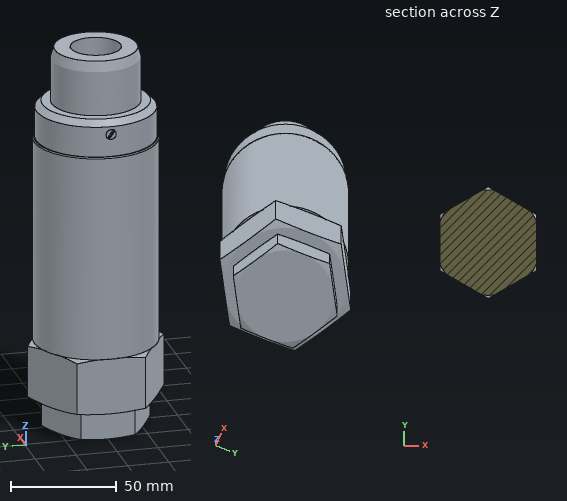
import cadquery as cq
import math

total_height = 190.0
small_nut_top = 15.0
large_nut_top = 43.0
sleeve_top = 145.0

large_nut_flats = 58.0
small_nut_flats = 46.0
nut_chamfer_angle = math.radians(15)

sleeve_diameter = 60.0
sleeve_chamfer = 0.5

collar_diameter = 58.0
collar_top = 163.0
collar_chamfer = 3.0
spigot_diameter = 43.0
spigot_taper_height = 5.1
spigot_taper_inset = 1.5
bore_diameter = 24.1
bore_depth = 11.0

screw_diameter = 5.0
screw_height = 156.0
screw_length = 5.7
screw_recess = 0.1
slot_width = 1.1
slot_depth = 1.1
slot_tilt = 55
screw_outer_radius = collar_diameter / 2 - screw_recess


def cylinder(diameter, bottom, top):
    return cq.Workplane("XY").workplane(offset=bottom).circle(diameter / 2).extrude(top - bottom)


def make_nut(flats, bottom, top):
    """Hexagon with corners on the Y axis, its corners bevelled by shallow cones at both ends."""
    corner_radius = flats / math.sqrt(3)
    corner_drop = (corner_radius - flats / 2) * math.tan(nut_chamfer_angle)
    hexagon = (
        cq.Workplane("XY")
        .workplane(offset=bottom)
        .transformed(rotate=(0, 0, 90))
        .polygon(6, 2 * corner_radius)
        .extrude(top - bottom)
    )
    bevel = (
        cq.Workplane("XZ")
        .moveTo(0, bottom)
        .lineTo(flats / 2, bottom)
        .lineTo(corner_radius, bottom + corner_drop)
        .lineTo(corner_radius, top - corner_drop)
        .lineTo(flats / 2, top)
        .lineTo(0, top)
        .close()
        .revolve(360, (0, 0), (0, 1))
    )
    return hexagon.intersect(bevel)


def make_sleeve():
    sleeve = cylinder(sleeve_diameter, large_nut_top, sleeve_top)
    return sleeve.faces(">Z").chamfer(sleeve_chamfer)


def screw_axis_plane(radius):
    """YZ plane centred on the screw axis, at a distance from the main axis towards -X."""
    return cq.Workplane("YZ", origin=(-radius, 0, screw_height))


def make_cap():
    collar = cylinder(collar_diameter, sleeve_top, collar_top).faces(">Z").chamfer(collar_chamfer)
    spigot = cylinder(spigot_diameter, collar_top, total_height)
    spigot = spigot.faces(">Z").chamfer(spigot_taper_height, spigot_taper_inset)
    bore = cylinder(bore_diameter, total_height - bore_depth, total_height)
    hole_depth = screw_length + screw_recess
    screw_hole = screw_axis_plane(collar_diameter / 2).circle(screw_diameter / 2).extrude(hole_depth)
    return collar.union(spigot).cut(bore).cut(screw_hole)


def make_screw():
    """Headless cylinder with a driver slot across its outer end."""
    shank = screw_axis_plane(screw_outer_radius).circle(screw_diameter / 2).extrude(screw_length)
    slot = (
        screw_axis_plane(screw_outer_radius)
        .transformed(rotate=(0, 0, -slot_tilt))
        .rect(2 * screw_diameter, slot_width)
        .extrude(slot_depth)
    )
    return shank.cut(slot)


small_nut = make_nut(small_nut_flats, 0, small_nut_top)
large_nut = make_nut(large_nut_flats, small_nut_top, large_nut_top)
sleeve = make_sleeve()
cap = make_cap()
screw = make_screw()

result = cq.Compound.makeCompound(
    [small_nut.val(), large_nut.val(), sleeve.val(), cap.val(), screw.val()]
)